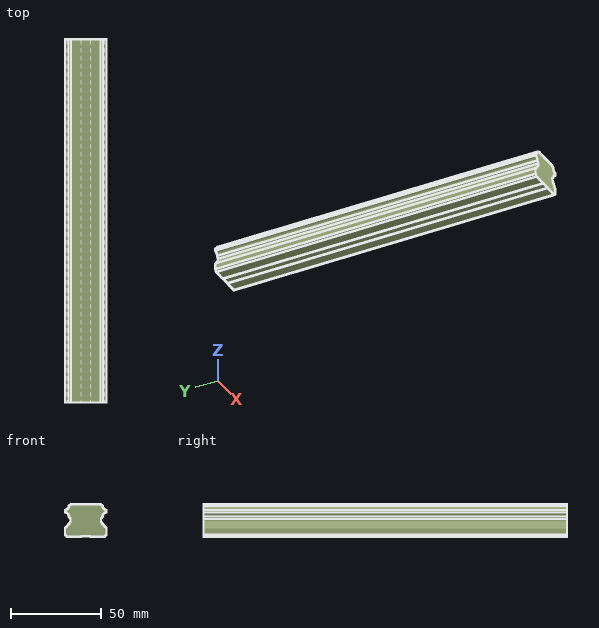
import cadquery as cq

length = 200.0
width = 23.0
height = 18.0
half_width = width / 2

relief_half_width = 2.5
relief_depth = 0.2
bottom_chamfer = 1.2
foot_side_top = 4.0
shoulder_half_width = 10.5
shoulder_top = 5.5
shoulder_inset = half_width - shoulder_half_width
shoulder_rise = shoulder_top - foot_side_top
shoulder_radius = (shoulder_inset**2 + shoulder_rise**2) / (2 * shoulder_inset)

waist_half_width = 8.5
waist_bottom = 8.5
waist_top = 9.8
flank_run = 2.0
flank_rise = 2.5
waist_radius = 0.8

raceway_radius = 2.2
raceway_half_width = 9.5
lower_raceway_bottom = 11.2
lip_flat = 0.2
lip_bottom = 13.5
lip_top = 14.8
upper_raceway_top = 16.5
crown_side_top = 17.0
crown_half_width = 8.0

plug_diameter = 11.0
plug_depth = 2.0
plug_pitch = 60.0
plug_count = 4


def half_section():
    """Right half of the cross-section, from the bottom centre to the top centre."""
    return (
        cq.Workplane("XZ", origin=(0, length / 2, 0))
        .moveTo(0, relief_depth)
        .lineTo(relief_half_width, relief_depth)
        .lineTo(relief_half_width, 0)
        .lineTo(half_width - bottom_chamfer, 0)
        .lineTo(half_width, bottom_chamfer)
        .lineTo(half_width, foot_side_top)
        .radiusArc((shoulder_half_width, shoulder_top), -shoulder_radius)
        .lineTo(shoulder_half_width - flank_run, shoulder_top + flank_rise)
        .radiusArc((waist_half_width, waist_bottom), waist_radius)
        .lineTo(waist_half_width, waist_top)
        .lineTo(raceway_half_width, lower_raceway_bottom)
        .radiusArc((half_width - lip_flat, lip_bottom), raceway_radius)
        .lineTo(half_width, lip_bottom)
        .lineTo(half_width, lip_top)
        .lineTo(half_width - lip_flat, lip_top)
        .radiusArc((raceway_half_width, upper_raceway_top), raceway_radius)
        .lineTo(raceway_half_width, crown_side_top)
        .lineTo(crown_half_width, height)
        .lineTo(0, height)
        .close()
    )


def make_rail():
    half = half_section().extrude(length)
    return half.union(half.mirror("YZ"))


def make_plugs():
    return (
        cq.Workplane("XY", origin=(0, 0, height))
        .rarray(2, plug_pitch, 1, plug_count)
        .circle(plug_diameter / 2)
        .extrude(-plug_depth)
    )


plugs = make_plugs()
result = make_rail().cut(plugs).union(plugs, clean=False)